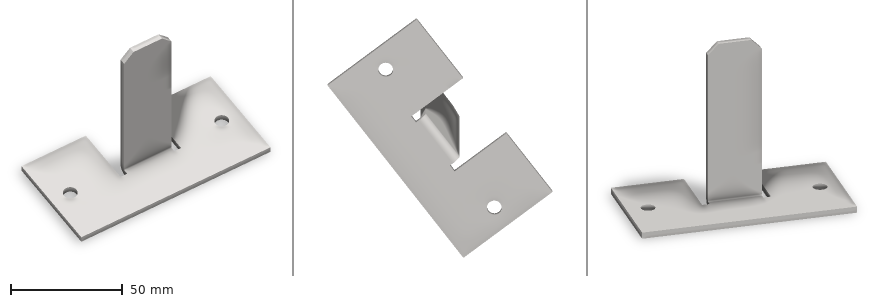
import cadquery as cq

plate_width = 50.0
plate_length = 100.0
thickness = 3.0

hole_diameter = 6.6
hole_spacing = 80.0

notch_depth = 29.0
notch_width = 32.0

tab_height = 80.0
tab_width = 25.0
tab_chamfer = 5.0
tab_offset = 23.5
inner_bend_radius = 0.7
outer_bend_radius = inner_bend_radius + thickness

plate_edge = -plate_width / 2
notch_end = plate_edge + notch_depth
tab_outer_face = plate_edge + tab_offset
tab_inner_face = tab_outer_face + thickness


def make_plate():
    plate = cq.Workplane("XY").box(plate_width, plate_length, thickness, centered=(True, True, False))
    notch = (
        cq.Workplane("XY")
        .box(notch_depth, notch_width, thickness, centered=(False, True, False))
        .translate((plate_edge, 0, 0))
    )
    holes = (
        cq.Workplane("XY")
        .pushPoints([(0, -hole_spacing / 2), (0, hole_spacing / 2)])
        .circle(hole_diameter / 2)
        .extrude(thickness)
    )
    return plate.cut(notch).cut(holes)


def make_tab():
    tab = (
        cq.Workplane("XZ")
        .moveTo(notch_end, 0)
        .lineTo(tab_outer_face + outer_bend_radius, 0)
        .radiusArc((tab_outer_face, outer_bend_radius), outer_bend_radius)
        .lineTo(tab_outer_face, tab_height)
        .lineTo(tab_inner_face, tab_height)
        .lineTo(tab_inner_face, outer_bend_radius)
        .radiusArc((tab_inner_face + inner_bend_radius, thickness), -inner_bend_radius)
        .lineTo(notch_end, thickness)
        .close()
        .extrude(tab_width / 2, both=True)
    )
    return tab.faces(">Z").edges("|X").chamfer(tab_chamfer)


result = make_plate().union(make_tab())